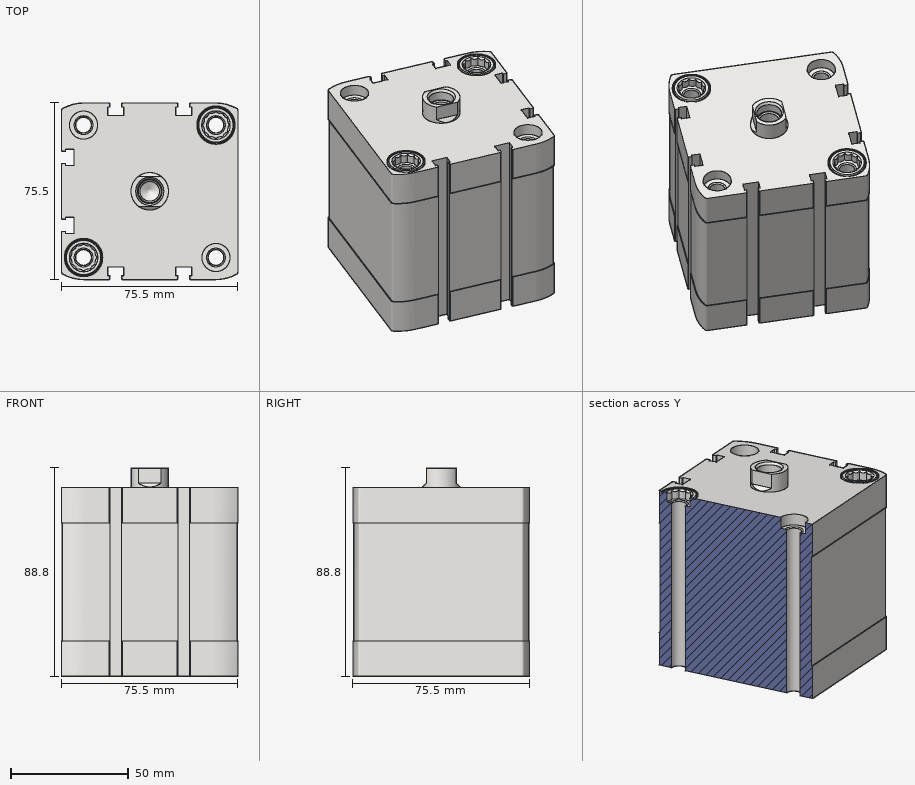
import cadquery as cq
import math

total_height = 88.85
rod_projection = 8.2
housing_height = total_height - rod_projection
cap_height = 15.1
barrel_inset = 0.35

width = 75.5
half_width = width / 2
large_corner_radius = 19.0
small_corner_radius = 1.25
large_arc_start = 28.0

slot_offset = 14.5
slot_neck_width = 5.1
slot_inner_width = 6.8
slot_lip = 1.8
slot_depth = 5.4
slot_mouth_chamfer = barrel_inset

hole_offset = 28.25
thread_bore_diameter = 6.65
thread_mouth_diameter = 8.0
drill_angle = 120.0
plain_counterbore_diameter = 12.0
plain_counterbore_depth = 5.0

groove_outer_diameter = 16.4
groove_root_diameter = 15.5
groove_inner_diameter = 14.6
groove_depth = 0.45
spline_count = 12
spline_crest_radius = 5.25
spline_valley_radius = 5.75
spline_crest_angle = 9.0
spline_mouth_radius = 6.1
spline_depth = 4.3

rod_radius = 8.0
rod_insertion = 20.0
flat_half_width = 6.4
flat_height = 6.4
rod_mouth_diameter = 12.0
rod_mouth_angle = 70.0
rod_counterbore_diameter = 10.5
rod_counterbore_depth = 5.0
rod_countersink_diameter = 9.8
rod_bore_diameter = 8.38
rod_bore_depth = 20.0


def cone_height(large_diameter, small_diameter, included_angle):
    """Height of the cone that narrows from one diameter to the other."""
    return (large_diameter - small_diameter) / 2 / math.tan(math.radians(included_angle / 2))


def polar(radius, degrees, center=(0, 0)):
    """Point at a radius and an angle from a center."""
    angle = math.radians(degrees)
    return (center[0] + radius * math.cos(angle), center[1] + radius * math.sin(angle))


def turned(profile):
    """Solid turned about Z from (radius, height) points."""
    return cq.Workplane("XZ").polyline(profile).close().revolve(360, (0, 0), (0, 1))


def quarter_outline():
    """Filled +X +Y quarter of the cap outline."""
    large_center = (large_arc_start, half_width - large_corner_radius)
    center_distance = large_corner_radius - small_corner_radius
    center_gap = half_width - small_corner_radius - large_arc_start
    join_angle = math.degrees(math.acos(center_gap / center_distance))
    small_center = polar(center_distance, join_angle, large_center)
    return (
        cq.Workplane("XY")
        .lineTo(half_width, 0)
        .lineTo(half_width, small_center[1])
        .threePointArc(
            polar(small_corner_radius, join_angle / 2, small_center),
            polar(small_corner_radius, join_angle, small_center),
        )
        .threePointArc(
            polar(large_corner_radius, (join_angle + 90) / 2, large_center),
            (large_arc_start, half_width),
        )
        .lineTo(0, half_width)
        .close()
    )


def square_block(height):
    """Full outline extruded up from Z = 0, mirrored from one quarter."""
    quarter = quarter_outline().extrude(height)
    side = quarter.union(quarter.mirror("YZ"))
    return side.union(side.mirror("XZ")).clean()


def barrel_recess():
    """Ring that trims the block between the caps down to the barrel."""
    barrel_height = housing_height - 2 * cap_height
    block = square_block(barrel_height)
    barrel = block.faces("<Z").wires().toPending().offset2D(-barrel_inset).extrude(barrel_height, combine=False)
    return block.cut(barrel).translate((0, 0, cap_height))


def t_slot():
    """Slot cutter opening at the +Y face, centred on X = 0."""
    neck = slot_neck_width / 2
    inner = slot_inner_width / 2
    mouth = neck + slot_mouth_chamfer
    right_side = [
        (mouth, half_width),
        (neck, half_width - slot_mouth_chamfer),
        (neck, half_width - slot_lip),
        (inner, half_width - slot_lip),
        (inner, half_width - slot_depth),
    ]
    left_side = [(-x, y) for x, y in reversed(right_side)]
    return cq.Workplane("XY").polyline(right_side + left_side).close().extrude(housing_height)


def threaded_hole(mouth_z):
    """Through hole with a countersink whose wide end is at mouth_z."""
    bore = thread_bore_diameter / 2
    mouth = thread_mouth_diameter / 2
    countersink = cone_height(thread_mouth_diameter, thread_bore_diameter, drill_angle)
    return turned([(0, 0), (bore, 0), (bore, mouth_z - countersink), (mouth, mouth_z), (0, mouth_z)])


def plain_corner():
    """Threaded hole below a plain counterbore."""
    floor = housing_height - plain_counterbore_depth
    counterbore = (
        cq.Workplane("XY", origin=(0, 0, floor))
        .circle(plain_counterbore_diameter / 2)
        .extrude(plain_counterbore_depth)
    )
    return threaded_hole(floor).union(counterbore)


def spline_socket():
    """Twelve-pointed socket with a conical mouth."""
    pitch = 360 / spline_count
    outline = []
    for i in range(spline_count):
        valley = i * pitch
        crest = valley + pitch / 2
        outline.append(polar(spline_valley_radius, valley))
        outline.append(polar(spline_crest_radius, crest - spline_crest_angle / 2))
        outline.append(polar(spline_crest_radius, crest + spline_crest_angle / 2))
    floor = housing_height - spline_depth
    splines = cq.Workplane("XY", origin=(0, 0, floor)).polyline(outline).close().extrude(spline_depth)
    cone_tip = housing_height - spline_mouth_radius
    mouth = turned([(0, cone_tip), (spline_mouth_radius, housing_height), (0, housing_height)])
    return splines.union(mouth)


def ring_groove():
    """Groove around the splined socket: a straight outer wall, a flat floor and a sloping inner wall."""
    return turned(
        [
            (groove_outer_diameter / 2, housing_height),
            (groove_outer_diameter / 2, housing_height - groove_depth),
            (groove_root_diameter / 2, housing_height - groove_depth),
            (groove_inner_diameter / 2, housing_height),
        ]
    )


def splined_corner():
    """Threaded hole below a splined socket, with its ring groove."""
    return threaded_hole(housing_height - spline_depth).union(spline_socket()).union(ring_groove())


def make_housing():
    body = square_block(housing_height).cut(barrel_recess())
    for face_angle in (0, 90, 180):
        for offset in (-slot_offset, slot_offset):
            slot = t_slot().translate((offset, 0, 0)).rotate((0, 0, 0), (0, 0, 1), face_angle)
            body = body.cut(slot)
    for side in (-1, 1):
        body = body.cut(splined_corner().translate((side * hole_offset, side * hole_offset, 0)))
        body = body.cut(plain_corner().translate((side * hole_offset, -side * hole_offset, 0)))
    rod_socket = (
        cq.Workplane("XY", origin=(0, 0, housing_height - rod_insertion))
        .circle(rod_radius)
        .extrude(rod_insertion)
    )
    return body.cut(rod_socket)


def wrench_flat():
    """Cutter for the +Y flat, whose foot slopes down outwards at 45 degrees."""
    foot = total_height - flat_height
    slope = rod_radius - flat_half_width
    profile = [
        (flat_half_width, total_height),
        (flat_half_width, foot),
        (rod_radius, foot - slope),
        (rod_radius, total_height),
    ]
    return cq.Workplane("YZ").polyline(profile).close().extrude(rod_radius, both=True)


def rod_bore():
    """Blind threaded bore with a conical mouth, a counterbore and a drill point."""
    mouth_foot = total_height - cone_height(rod_mouth_diameter, rod_counterbore_diameter, rod_mouth_angle)
    counterbore_floor = total_height - rod_counterbore_depth
    countersink_foot = counterbore_floor - cone_height(
        rod_countersink_diameter, rod_bore_diameter, drill_angle
    )
    bore_end = total_height - rod_bore_depth
    return turned(
        [
            (0, total_height),
            (rod_mouth_diameter / 2, total_height),
            (rod_counterbore_diameter / 2, mouth_foot),
            (rod_counterbore_diameter / 2, counterbore_floor),
            (rod_countersink_diameter / 2, counterbore_floor),
            (rod_bore_diameter / 2, countersink_foot),
            (rod_bore_diameter / 2, bore_end),
            (0, bore_end - cone_height(rod_bore_diameter, 0, drill_angle)),
        ]
    )


def make_rod():
    rod = (
        cq.Workplane("XY", origin=(0, 0, housing_height - rod_insertion))
        .circle(rod_radius)
        .extrude(rod_insertion + rod_projection)
    )
    flat = wrench_flat()
    return rod.cut(flat).cut(flat.mirror("XZ")).cut(rod_bore())


housing = make_housing()
rod = make_rod()

result = cq.Compound.makeCompound([housing.val(), rod.val()])